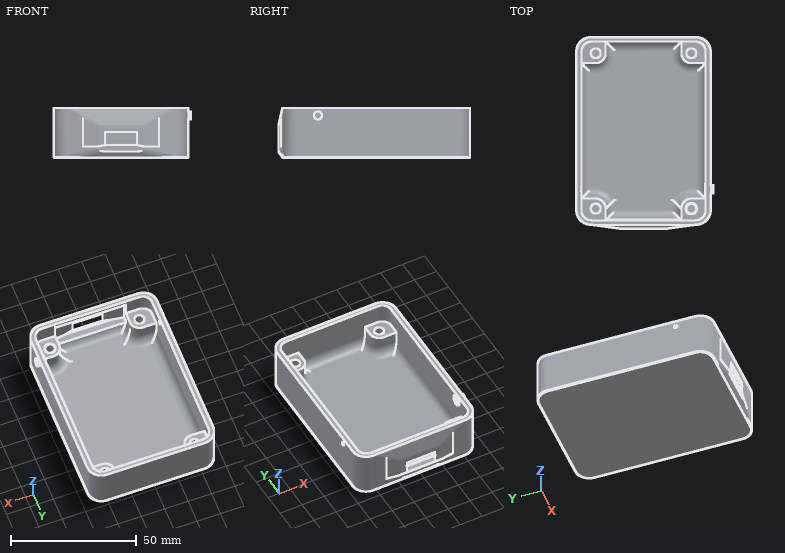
import cadquery as cq
import math

OVERALL_Y = 76.6
LENGTH_X = 53.75
LENGTH_Y = 75.0
HEIGHT = 20.0
CORNER_RADIUS = 6.0
BOTTOM_CHAMFER = 0.3

SIDE_WALL = 2.1
END_WALL = 1.8
FLOOR = 1.8
CAVITY_CORNER_RADIUS = 4.0
FLOOR_FILLET = 4.0

BOSS_X = 19.1
BOSS_Y = 31.0
BOSS_RADIUS = 4.0
BOSS_TOP = 11.0
SCREW_HOLE_DIAMETER = 4.0
SCREW_HOLE_LEAD_IN = 0.2
GUSSET_REACH = 3.5

NOSE_PROJECTION = OVERALL_Y - LENGTH_Y
NOSE_TIP_WIDTH = 17.9
NOSE_TIP_BOTTOM = 2.5
NOSE_TIP_TOP = 12.95
NOSE_FILLET = 3.0
SLOT_WIDTH = 12.8
SLOT_BOTTOM = 5.1
SLOT_TOP = 10.35
FLARE_BOTTOM = 4.5

BUTTON_Y = -23.3
BUTTON_Z = 17.0
BUTTON_DIAMETER = 3.2
BUTTON_PROJECTION = 1.0
HEAD_DIAMETER = 4.4
HEAD_THICKNESS = 0.3
VENT_DIAMETER = 1.4

FRONT_Y = -LENGTH_Y / 2
CAVITY_X = LENGTH_X / 2 - SIDE_WALL
CAVITY_Y = LENGTH_Y / 2 - END_WALL
BOSS_FACE_X = BOSS_X - BOSS_RADIUS
BOSS_FACE_Y = BOSS_Y - BOSS_RADIUS
NOSE_BASE_WIDTH = LENGTH_X - 2 * CORNER_RADIUS


def outer_block():
    block = cq.Workplane("XY").rect(LENGTH_X, LENGTH_Y).extrude(HEIGHT)
    block = block.edges("|Z").fillet(CORNER_RADIUS)
    return block.faces("<Z").chamfer(BOTTOM_CHAMFER)


def nose():
    """Tapered frustum on the -Y wall with its four sloping edges rounded."""
    base_height = HEIGHT - BOTTOM_CHAMFER
    base_middle = BOTTOM_CHAMFER + base_height / 2
    tip_height = NOSE_TIP_TOP - NOSE_TIP_BOTTOM
    tip_middle = (NOSE_TIP_TOP + NOSE_TIP_BOTTOM) / 2
    frustum = (
        cq.Workplane("XZ", origin=(0, FRONT_Y, 0))
        .center(0, base_middle)
        .rect(NOSE_BASE_WIDTH, base_height)
        .workplane(offset=NOSE_PROJECTION)
        .center(0, tip_middle - base_middle)
        .rect(NOSE_TIP_WIDTH, tip_height)
        .loft(ruled=True)
    )
    sloping_edges = frustum.edges("not(#Y)")
    return sloping_edges.fillet(NOSE_FILLET)


def cavity():
    """Space inside the tray: a rounded pocket, narrowed by the bosses lower down."""
    upper = (
        cq.Workplane("XY", origin=(0, 0, FLOOR))
        .rect(2 * CAVITY_X, 2 * CAVITY_Y)
        .extrude(HEIGHT - FLOOR)
        .edges("|Z")
        .fillet(CAVITY_CORNER_RADIUS)
    )
    upper = upper.intersect(
        cq.Workplane("XY", origin=(0, 0, BOSS_TOP)).rect(LENGTH_X, LENGTH_Y).extrude(HEIGHT)
    )
    arc_offset = BOSS_RADIUS * math.sqrt(0.5)
    arc_x = BOSS_X - arc_offset
    arc_y = BOSS_Y - arc_offset
    lower = (
        cq.Workplane("XY", origin=(0, 0, FLOOR))
        .moveTo(CAVITY_X, -BOSS_FACE_Y)
        .lineTo(CAVITY_X, BOSS_FACE_Y)
        .lineTo(BOSS_X, BOSS_FACE_Y)
        .threePointArc((arc_x, arc_y), (BOSS_FACE_X, BOSS_Y))
        .lineTo(BOSS_FACE_X, CAVITY_Y)
        .lineTo(-BOSS_FACE_X, CAVITY_Y)
        .lineTo(-BOSS_FACE_X, BOSS_Y)
        .threePointArc((-arc_x, arc_y), (-BOSS_X, BOSS_FACE_Y))
        .lineTo(-CAVITY_X, BOSS_FACE_Y)
        .lineTo(-CAVITY_X, -BOSS_FACE_Y)
        .lineTo(-BOSS_X, -BOSS_FACE_Y)
        .threePointArc((-arc_x, -arc_y), (-BOSS_FACE_X, -BOSS_Y))
        .lineTo(-BOSS_FACE_X, -CAVITY_Y)
        .lineTo(BOSS_FACE_X, -CAVITY_Y)
        .lineTo(BOSS_FACE_X, -BOSS_Y)
        .threePointArc((arc_x, -arc_y), (BOSS_X, -BOSS_FACE_Y))
        .close()
        .extrude(BOSS_TOP - FLOOR)
        .faces("<Z")
        .edges()
        .fillet(FLOOR_FILLET)
    )
    return upper.union(lower)


def front_gusset(side):
    """Floor fillet of a front boss, carried past the boss arc and ended on a 45 degree miter."""
    face_x = side * BOSS_FACE_X
    toe_x = side * (BOSS_FACE_X - FLOOR_FILLET)
    miter_x = side * (BOSS_FACE_X - GUSSET_REACH)
    arc_drop = FLOOR_FILLET * (1 - math.sqrt(0.5))
    fillet_strip = (
        cq.Workplane("XZ", origin=(0, -BOSS_Y, 0))
        .moveTo(face_x, FLOOR + FLOOR_FILLET)
        .threePointArc((face_x - side * arc_drop, FLOOR + arc_drop), (toe_x, FLOOR))
        .lineTo(face_x, FLOOR)
        .close()
        .extrude(-GUSSET_REACH)
    )
    miter = (
        cq.Workplane("XY")
        .moveTo(face_x, -BOSS_Y)
        .lineTo(miter_x, -BOSS_Y + GUSSET_REACH)
        .lineTo(toe_x, -BOSS_Y + GUSSET_REACH)
        .lineTo(toe_x, -BOSS_Y)
        .close()
        .extrude(BOSS_TOP)
    )
    return fillet_strip.intersect(miter)


def screw_holes():
    """Blind holes in the four bosses, reaching down to the floor level."""
    corners = [(x, y) for x in (-BOSS_X, BOSS_X) for y in (-BOSS_Y, BOSS_Y)]
    return (
        cq.Workplane("XY", origin=(0, 0, FLOOR))
        .pushPoints(corners)
        .circle(SCREW_HOLE_DIAMETER / 2)
        .extrude(BOSS_TOP - FLOOR)
    )


def screw_hole_lead_in():
    """Conical lead-in at the mouth of the hole in the +X, -Y boss."""
    hole_radius = SCREW_HOLE_DIAMETER / 2
    cone = cq.Solid.makeCone(
        hole_radius,
        hole_radius + SCREW_HOLE_LEAD_IN,
        SCREW_HOLE_LEAD_IN,
        cq.Vector(BOSS_X, -BOSS_Y, BOSS_TOP - SCREW_HOLE_LEAD_IN),
    )
    return cq.Workplane(cone)


def nose_slot():
    """Slot at the nose tip, widening behind it parallel to the nose's own sloping faces.

    The sides widen up to the front boss faces, the top rises up to the plane of the -Y wall,
    and the bottom drops to a level sill.
    """
    tip_y = FRONT_Y - NOSE_PROJECTION
    end_y = FLOOR_FILLET - CAVITY_Y
    top_rise = HEIGHT - NOSE_TIP_TOP
    sill_depth = (SLOT_BOTTOM - FLARE_BOTTOM) * NOSE_PROJECTION / (NOSE_TIP_BOTTOM - BOTTOM_CHAMFER)
    side_run = BOSS_FACE_X - SLOT_WIDTH / 2
    side_depth = side_run * 2 * NOSE_PROJECTION / (NOSE_BASE_WIDTH - NOSE_TIP_WIDTH)
    side_profile = (
        cq.Workplane("YZ", origin=(-BOSS_FACE_X, 0, 0))
        .moveTo(tip_y, SLOT_TOP)
        .lineTo(tip_y, SLOT_BOTTOM)
        .lineTo(tip_y + sill_depth, FLARE_BOTTOM)
        .lineTo(end_y, FLARE_BOTTOM)
        .lineTo(end_y, SLOT_TOP + top_rise)
        .lineTo(FRONT_Y, SLOT_TOP + top_rise)
        .close()
        .extrude(2 * BOSS_FACE_X)
    )
    plan = (
        cq.Workplane("XY")
        .moveTo(-SLOT_WIDTH / 2, tip_y)
        .lineTo(SLOT_WIDTH / 2, tip_y)
        .lineTo(BOSS_FACE_X, tip_y + side_depth)
        .lineTo(BOSS_FACE_X, -CAVITY_Y)
        .lineTo(BOSS_FACE_X - FLOOR_FILLET, end_y)
        .lineTo(-BOSS_FACE_X + FLOOR_FILLET, end_y)
        .lineTo(-BOSS_FACE_X, -CAVITY_Y)
        .lineTo(-BOSS_FACE_X, tip_y + side_depth)
        .close()
        .extrude(HEIGHT)
    )
    return side_profile.intersect(plan)


def cylinder_along_x(diameter, start_x, length):
    """Cylinder on the button axis, running toward +X from start_x."""
    return (
        cq.Workplane("YZ", origin=(start_x, BUTTON_Y, BUTTON_Z))
        .circle(diameter / 2)
        .extrude(length)
    )


def make_housing():
    body = outer_block().union(nose())
    body = body.cut(cavity())
    for side in (-1, 1):
        body = body.union(front_gusset(side))
    body = body.cut(screw_holes())
    body = body.cut(screw_hole_lead_in())
    body = body.cut(nose_slot())
    body = body.cut(cylinder_along_x(VENT_DIAMETER, -LENGTH_X / 2, SIDE_WALL))
    return body.cut(cylinder_along_x(BUTTON_DIAMETER, CAVITY_X, SIDE_WALL))


def make_button():
    """Plunger through the wall, with a wider head resting on the wall's inner face."""
    plunger = cylinder_along_x(BUTTON_DIAMETER, CAVITY_X, SIDE_WALL + BUTTON_PROJECTION)
    head = cylinder_along_x(HEAD_DIAMETER, CAVITY_X - HEAD_THICKNESS, HEAD_THICKNESS)
    return plunger.union(head)


housing = make_housing()
button = make_button()

result = cq.Compound.makeCompound([housing.val(), button.val()])